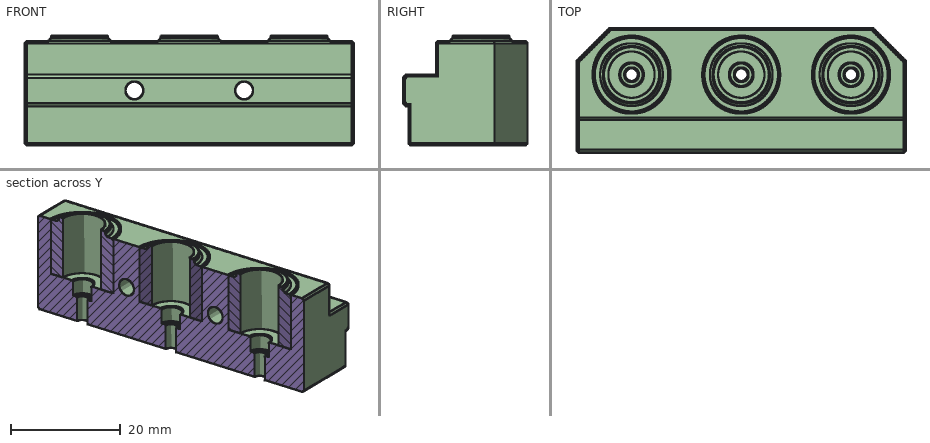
import cadquery as cq

block_length = 60.0
block_height = 19.0
back_y = 8.5
rail_front_y = -14.25
step_depth = 6.0
rail_overhang = 1.0
rail_bottom_z = 7.1
rail_height = 5.8
corner_clip = 6.0
edge_chamfer = 0.4
rail_chamfer = 0.6

step_y = rail_front_y + step_depth
lower_front_y = rail_front_y + rail_overhang
rail_top_z = rail_bottom_z + rail_height
half_length = block_length / 2

cross_hole_diameter = 3.2
cross_hole_spacing = 20.0
cross_hole_z = rail_bottom_z + rail_height / 2

bushing_spacing = 20.0
bushing_count = 3
bushing_diameter = 14.0
pocket_edge_chamfer = 0.125
bushing_rim_chamfer = 0.3
bushing_length = 12.0
bore_diameter = 8.45
collar_diameter = 10.45
collar_height = 1.0
collar_cone_height = 0.5
collar_cone_spread = 0.5
collar_top_chamfer = 0.2

bushing_top_z = block_height + collar_height
bushing_seat_z = bushing_top_z - bushing_length
bushing_xs = [(i - (bushing_count - 1) / 2) * bushing_spacing for i in range(bushing_count)]

through_diameter = 2.3
counterbore_diameter = 4.1
counterbore_depth = 3.0
hole_edge_chamfer = 0.2


def is_plain_edge(edge):
    """True for edges the general chamfer skips: clipped-corner verticals and long rail edges."""
    middle = edge.Center()
    size = edge.BoundingBox()
    is_vertical = size.zlen > size.xlen + size.ylen
    if is_vertical:
        return middle.y > 0
    is_along_block = size.xlen > size.ylen + size.zlen
    is_on_rail = rail_bottom_z - edge_chamfer < middle.z < rail_top_z + edge_chamfer
    return is_along_block and is_on_rail


def make_block_body():
    """Stepped profile along X with clipped back corners and chamfered outer edges."""
    profile = [
        (back_y, 0),
        (lower_front_y, 0),
        (lower_front_y, rail_bottom_z),
        (rail_front_y, rail_bottom_z),
        (rail_front_y, rail_top_z),
        (step_y, rail_top_z),
        (step_y, block_height),
        (back_y, block_height),
    ]
    body = cq.Workplane("YZ").polyline(profile).close().extrude(half_length, both=True)
    body = body.edges("|Z and >Y").chamfer(corner_clip)
    body = body.edges("|X and <Y").chamfer(rail_chamfer)
    outer_edges = [edge for edge in body.edges().vals() if not is_plain_edge(edge)]
    return body.newObject(outer_edges).chamfer(edge_chamfer)


def make_stepped_hole():
    """Pocket for one bushing, then a counterbore and a through hole, both with chamfered mouths."""
    counterbore_floor_z = bushing_seat_z - counterbore_depth
    pocket_radius = bushing_diameter / 2
    counterbore_radius = counterbore_diameter / 2
    through_radius = through_diameter / 2
    outline = [
        (0, 0),
        (through_radius, 0),
        (through_radius, counterbore_floor_z - hole_edge_chamfer),
        (through_radius + hole_edge_chamfer, counterbore_floor_z),
        (counterbore_radius, counterbore_floor_z),
        (counterbore_radius, bushing_seat_z - hole_edge_chamfer),
        (counterbore_radius + hole_edge_chamfer, bushing_seat_z),
        (pocket_radius, bushing_seat_z),
        (pocket_radius, block_height - pocket_edge_chamfer),
        (pocket_radius + pocket_edge_chamfer, block_height),
        (0, block_height),
    ]
    return cq.Workplane("XZ").polyline(outline).close().revolve(360, (0, 0), (0, 1))


def make_block():
    block = make_block_body()
    for x in bushing_xs:
        block = block.cut(make_stepped_hole().translate((x, 0, 0)))
    for side in (-1, 1):
        cross_hole = (
            cq.Workplane("XZ", origin=(side * cross_hole_spacing / 2, 0, cross_hole_z))
            .circle(cross_hole_diameter / 2)
            .extrude(back_y - rail_front_y, both=True)
        )
        block = block.cut(cross_hole)
    return block


def make_bushing():
    """Plain sleeve with a chamfered rim flush with the block and a raised collar on a cone."""
    outer_radius = bushing_diameter / 2
    bore_radius = bore_diameter / 2
    collar_radius = collar_diameter / 2
    outline = [
        (bore_radius, bushing_seat_z),
        (outer_radius, bushing_seat_z),
        (outer_radius, block_height - bushing_rim_chamfer),
        (outer_radius - bushing_rim_chamfer, block_height),
        (collar_radius + collar_cone_spread, block_height),
        (collar_radius, block_height + collar_cone_height),
        (collar_radius, bushing_top_z - collar_top_chamfer),
        (collar_radius - collar_top_chamfer, bushing_top_z),
        (bore_radius, bushing_top_z),
    ]
    return cq.Workplane("XZ").polyline(outline).close().revolve(360, (0, 0), (0, 1))


block = make_block()
bushings = [make_bushing().translate((x, 0, 0)) for x in bushing_xs]

result = cq.Compound.makeCompound([block.val(), *[bushing.val() for bushing in bushings]])